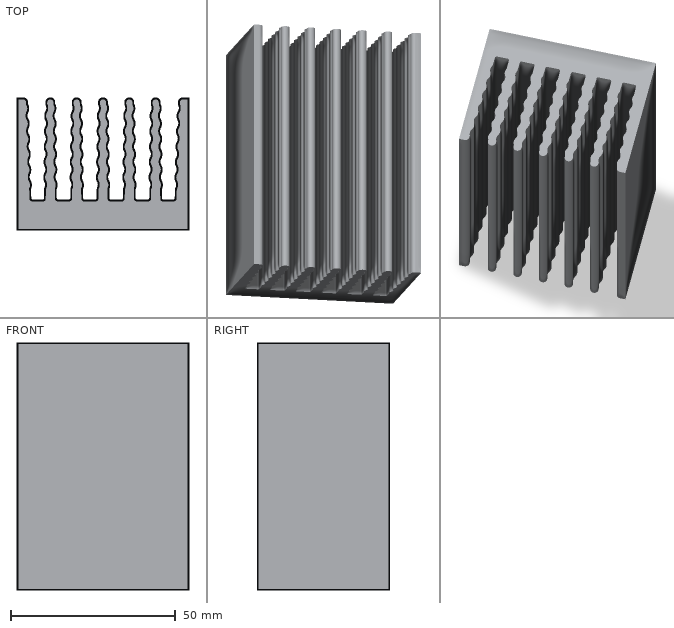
import cadquery as cq
import math

width = 52.0
depth = 40.0
length = 75.0
base_thickness = 9.0

fin_count = 7
fin_pitch = 8.0
inner_tip_width = 2.5
inner_root_width = 3.45
end_tip_width = 2.95
end_root_width = 4.0
tip_radius = inner_tip_width / 2
root_radius = 0.5

wave_amplitude = 0.3
half_wave_length = 2.33
half_wave_count = 11
wave_tip_gap = 1.85
wave_start_y = depth - wave_tip_gap

tip_y = depth - tip_radius
root_y = base_thickness + root_radius
first_fin_x = -fin_pitch * (fin_count - 1) / 2


def wall_x(wall, y):
    """X of a straight drafted wall, given as its (tip X, root X), at the given Y."""
    tip_x, root_x = wall
    return tip_x + (root_x - tip_x) * (tip_y - y) / (tip_y - base_thickness)


def fin_walls(index):
    """Left and right walls of a fin; the end fins have a plain outer wall."""
    center = first_fin_x + index * fin_pitch
    left = (center - inner_tip_width / 2, center - inner_root_width / 2)
    right = (center + inner_tip_width / 2, center + inner_root_width / 2)
    if index == 0:
        left = (-width / 2, -width / 2)
        right = (-width / 2 + end_tip_width, -width / 2 + end_root_width)
    if index == fin_count - 1:
        left = (width / 2 - end_tip_width, width / 2 - end_root_width)
        right = (width / 2, width / 2)
    return left, right


def quarter_arc(outline, end, center, radius, x_side, y_side):
    """Quarter round to `end`, bulging from `center` toward the given X and Y sides."""
    reach = radius * math.sqrt(0.5)
    middle = (center[0] + x_side * reach, center[1] + y_side * reach)
    return outline.threePointArc(middle, end)


def wavy_wall(outline, wall, downward):
    """Wall between tip and root rounding; the topmost half wave bulges toward +X."""
    steps = range(half_wave_count)
    if downward:
        outline = outline.lineTo(wall_x(wall, wave_start_y), wave_start_y)
    else:
        steps = reversed(steps)
        wave_end_y = wave_start_y - half_wave_count * half_wave_length
        outline = outline.lineTo(wall_x(wall, wave_end_y), wave_end_y)
    for step in steps:
        top_y = wave_start_y - step * half_wave_length
        bottom_y = top_y - half_wave_length
        middle_y = (top_y + bottom_y) / 2
        end_y = bottom_y if downward else top_y
        bulge = wave_amplitude * (-1) ** step
        middle = (wall_x(wall, middle_y) + bulge, middle_y)
        outline = outline.threePointArc(middle, (wall_x(wall, end_y), end_y))
    last_y = root_y if downward else tip_y
    return outline.lineTo(wall_x(wall, last_y), last_y)


def slot(outline, left_wall, right_wall):
    """Slot between two fins, from the rounded tip of one to the rounded tip of the next."""
    left_tip_x = left_wall[0]
    left_root_x = wall_x(left_wall, root_y)
    right_tip_x = right_wall[0]
    right_root_x = wall_x(right_wall, root_y)

    tip_center = (left_tip_x - tip_radius, tip_y)
    outline = quarter_arc(outline, (left_tip_x, tip_y), tip_center, tip_radius, 1, 1)
    outline = wavy_wall(outline, left_wall, downward=True)

    floor_start = (left_root_x + root_radius, base_thickness)
    root_center = (floor_start[0], root_y)
    outline = quarter_arc(outline, floor_start, root_center, root_radius, -1, -1)
    floor_end_x = right_root_x - root_radius
    outline = outline.lineTo(floor_end_x, base_thickness)
    root_center = (floor_end_x, root_y)
    outline = quarter_arc(outline, (right_root_x, root_y), root_center, root_radius, 1, -1)

    outline = wavy_wall(outline, right_wall, downward=False)
    tip_center = (right_tip_x + tip_radius, tip_y)
    return quarter_arc(outline, (tip_center[0], depth), tip_center, tip_radius, -1, 1)


def heat_sink_outline():
    outline = cq.Workplane("XY").moveTo(-width / 2, 0).lineTo(-width / 2, depth)
    outline = outline.lineTo(-width / 2 + end_tip_width - tip_radius, depth)
    for index in range(fin_count - 1):
        left_wall = fin_walls(index)[1]
        right_wall = fin_walls(index + 1)[0]
        outline = slot(outline, left_wall, right_wall)
    return outline.lineTo(width / 2, depth).lineTo(width / 2, 0).close()


result = heat_sink_outline().extrude(length)